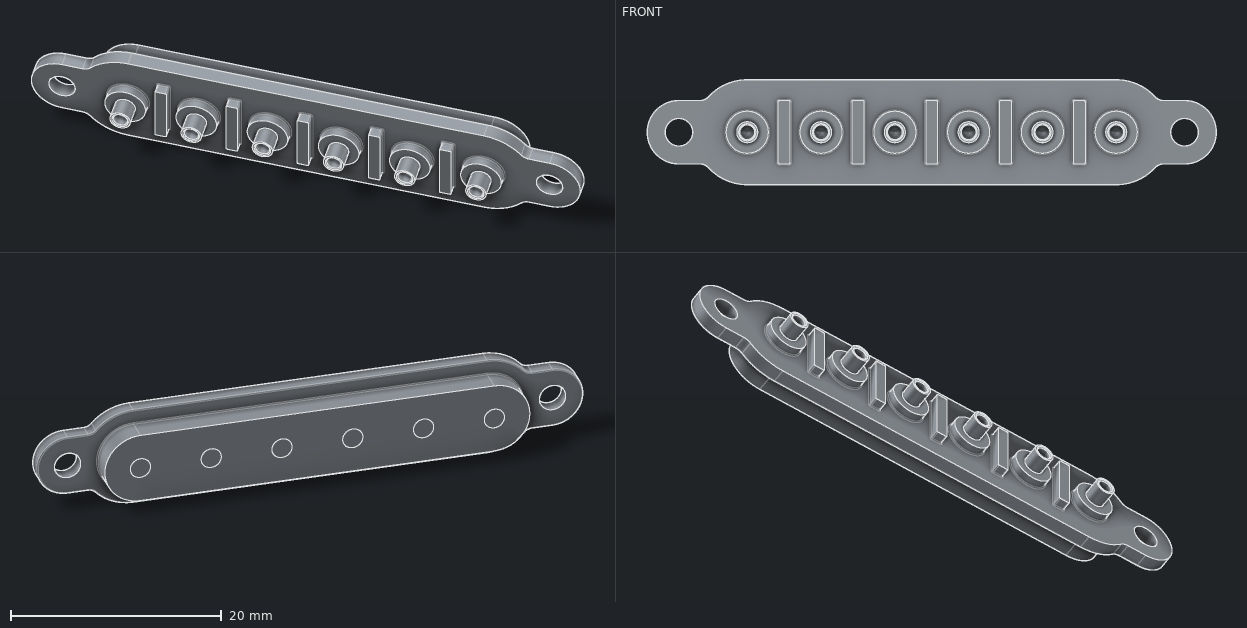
import cadquery as cq
import math

overall_length = 54.0
flange_height = 10.0
flange_thickness = 1.5
lug_radius = 3.0
lug_hole_diameter = 2.6
neck_radius = 1.0

contact_count = 6
contact_span = 35.0

block_height = 7.0
block_depth = 2.45

boss_diameter = 4.0
boss_height = 0.95
rib_width = 1.15
rib_length = 6.0
rib_height = 1.0
edge_radius = 0.12

pin_diameter = 2.0
pin_projection = 1.85
cup_diameter = 1.4
cup_depth = 1.8
cup_chamfer = 0.1
cup_tip_angle = 118.0

tolerance = 0.005

contact_pitch = contact_span / (contact_count - 1)
contact_xs = [i * contact_pitch - contact_span / 2 for i in range(contact_count)]
rib_xs = [(left + right) / 2 for left, right in zip(contact_xs, contact_xs[1:])]
end_x = contact_xs[-1]
lug_x = overall_length / 2 - lug_radius
pin_tip_y = -(boss_height + pin_projection)


def front_plane(y):
    """Plane at the given Y, with local x along X, local y along Z and its normal toward -Y."""
    return cq.Workplane("XZ", origin=(0, y, 0))


def edges_near(body, x, z):
    """Edges along Y that stand at +-x, +-z."""
    return body.edges("|Y").filter(
        lambda edge: math.isclose(abs(edge.Center().x), x, abs_tol=tolerance)
        and math.isclose(abs(edge.Center().z), z, abs_tol=tolerance)
    )


def make_flange():
    """Round-ended plate with a blended round lug at each end and a softened rear rim."""
    plate = front_plane(flange_thickness).slot2D(
        2 * end_x + flange_height, flange_height
    ).extrude(flange_thickness)
    lugs = front_plane(flange_thickness).slot2D(
        overall_length, 2 * lug_radius
    ).extrude(flange_thickness)
    neck_x = end_x + math.sqrt((flange_height / 2) ** 2 - lug_radius ** 2)
    flange = edges_near(plate.union(lugs), neck_x, lug_radius).fillet(neck_radius)
    return flange.faces(">Y").edges().fillet(edge_radius)


def make_housing():
    """Flange with the rear block, front bosses and ribs, root fillets and bored holes."""
    block = front_plane(flange_thickness + block_depth).slot2D(
        2 * end_x + block_height, block_height
    ).extrude(block_depth)
    bosses = front_plane(0).pushPoints([(x, 0) for x in contact_xs]).circle(
        boss_diameter / 2
    ).extrude(boss_height)
    ribs = front_plane(0).pushPoints([(x, 0) for x in rib_xs]).rect(
        rib_width, rib_length
    ).extrude(rib_height).edges("|Y").fillet(edge_radius)

    body = make_flange().union(block).union(bosses).union(ribs)

    reach_x = end_x + block_height / 2 + edge_radius
    reach_z = block_height / 2 + edge_radius
    front_roots = cq.selectors.BoxSelector(
        (-reach_x, -edge_radius, -reach_z), (reach_x, edge_radius, reach_z)
    )
    rear_roots = cq.selectors.BoxSelector(
        (-reach_x, flange_thickness - edge_radius, -reach_z),
        (reach_x, flange_thickness + edge_radius, reach_z),
    )
    body = body.edges(front_roots).fillet(edge_radius)
    body = body.edges(rear_roots).fillet(edge_radius)

    lug_holes = front_plane(flange_thickness).pushPoints([(-lug_x, 0), (lug_x, 0)]).circle(
        lug_hole_diameter / 2
    ).extrude(flange_thickness)
    pin_bores = front_plane(flange_thickness + block_depth).pushPoints(
        [(x, 0) for x in contact_xs]
    ).circle(pin_diameter / 2).extrude(flange_thickness + block_depth + boss_height)
    return body.cut(lug_holes).cut(pin_bores)


def make_pin(x):
    """Contact pin with a drilled solder cup in its front end."""
    pin_rear_y = flange_thickness + block_depth
    cup_radius = cup_diameter / 2
    cup_tip_height = cup_radius / math.tan(math.radians(cup_tip_angle / 2))
    cup_floor_y = pin_tip_y + cup_depth
    return (
        cq.Workplane("XY")
        .moveTo(0, pin_rear_y)
        .lineTo(pin_diameter / 2, pin_rear_y)
        .lineTo(pin_diameter / 2, pin_tip_y)
        .lineTo(cup_radius + cup_chamfer, pin_tip_y)
        .lineTo(cup_radius, pin_tip_y + cup_chamfer)
        .lineTo(cup_radius, cup_floor_y)
        .lineTo(0, cup_floor_y + cup_tip_height)
        .close()
        .revolve(360, (0, 0, 0), (0, 1, 0))
        .translate((x, 0, 0))
    )


housing = make_housing()
pins = [make_pin(x) for x in contact_xs]

result = cq.Compound.makeCompound([housing.val(), *[pin.val() for pin in pins]])